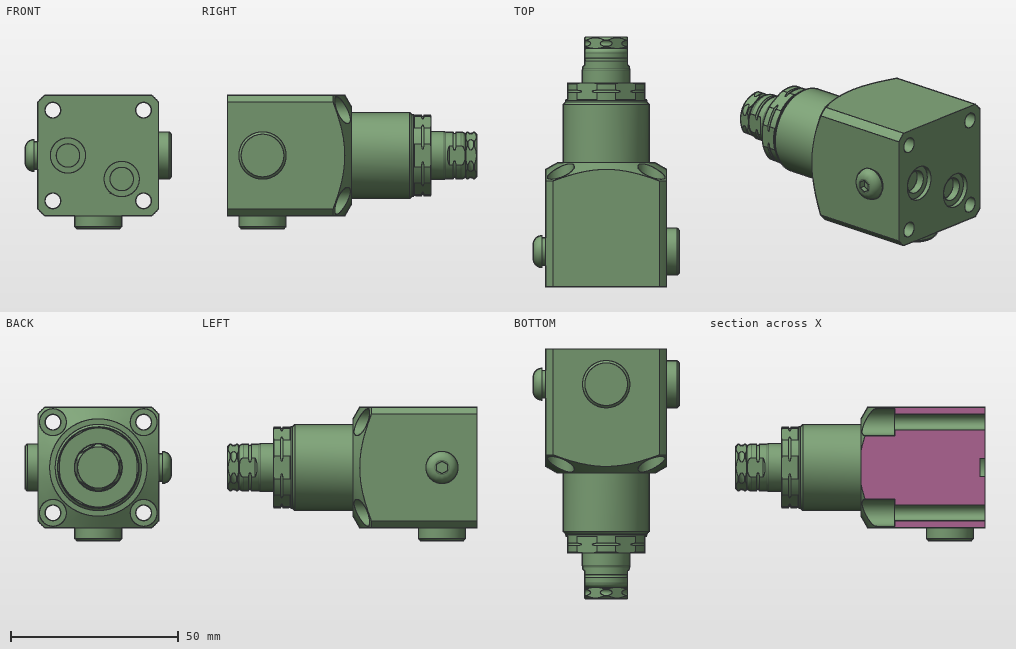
import cadquery as cq
import math


block_side = 36.0
block_length = 37.0
block_turned_radius = 24.0
rear_face_radius = 14.5
rear_cone_angle = 30.0

mount_offset = 13.5
mount_hole_diameter = 4.6
mount_counterbore_diameter = 8.0
mount_counterbore_floor = 27.0

port_positions = [(-9.0, 0.0), (7.0, -7.0)]
port_diameter = 7.0
port_depth = 4.0
port_counterbore_diameter = 10.5
port_counterbore_depth = 1.5

side_fitting_y = 10.5
plug_radius = 7.05
plug_height = 3.81
plug_chamfer = 0.7
screw_neck_radius = 4.15
screw_neck_height = 1.06
screw_head_radius = 4.8
screw_total_height = 3.78
screw_socket_across_flats = 3.2
screw_socket_depth = 1.8

sleeve_radius = 12.85
sleeve_end = 54.3
sleeve_chamfer_end = 55.05
sleeve_lip_radius = 12.15
sleeve_lip_end = 55.45

nut_radius = 12.0
nut_across_flats = 23.0
nut_flats_start = 55.8
nut_end = 60.7
nut_edge_chamfer = 0.25
nut_groove_y = 58.2
nut_groove_radius = 0.36

stem_radius = 7.15
stem_end = 64.5
connector_radius = 7.0
connector_start = 65.0
connector_half_flats = 6.4
connector_flat_start = 65.5
connector_groove_y = 67.65
connector_groove_radius = 0.42
shoulder_start = 69.65
neck_radius = 6.1
neck_y = 71.0

head_end = 74.42
head_tip_radius = 6.15
head_tip_chamfer = 0.88
head_base_chamfer = 0.35
head_groove_y = 72.5
head_groove_width = 1.7
head_groove_depth = 0.4


def cylinder_y(radius, start, end, x=0.0, z=0.0):
    """Cylinder along +Y from y = start to y = end."""
    base = cq.Vector(x, start, z)
    return cq.Workplane(cq.Solid.makeCylinder(radius, end - start, base, cq.Vector(0, 1, 0)))


def hex_prism_y(across_flats, start, end):
    """Hexagonal prism along Y with two of its flats facing -X and +X."""
    hexagon_plane = cq.Plane(origin=(0, start, 0), xDir=(1, 0, 0), normal=(0, 1, 0))
    prism = cq.Workplane(hexagon_plane).polygon(6, across_flats, circumscribed=True)
    return prism.extrude(end - start)


def revolve_y(profile):
    """Full turn of an XY profile about the Y axis."""
    return profile.close().revolve(360, (0, 0, 0), (0, 1, 0))


def round_groove(surface_radius, y, groove_radius):
    """Ring of circular section centred on a cylindrical surface."""
    section = cq.Workplane("XY").center(surface_radius, y).circle(groove_radius)
    return section.revolve(360, (-surface_radius, 0, 0), (-surface_radius, 1, 0))


def make_block():
    bar = cq.Workplane("XY").box(block_side, block_length, block_side).translate((0, block_length / 2, 0))
    cone_length = (block_turned_radius - rear_face_radius) * math.tan(math.radians(rear_cone_angle))
    turned = revolve_y(
        cq.Workplane("XY")
        .lineTo(block_turned_radius, 0)
        .lineTo(block_turned_radius, block_length - cone_length)
        .lineTo(rear_face_radius, block_length)
        .lineTo(0, block_length)
    )
    return bar.intersect(turned)


def cut_mounting_holes(body):
    hole_radius = mount_hole_diameter / 2
    counterbore_radius = mount_counterbore_diameter / 2
    for x in (-mount_offset, mount_offset):
        for z in (-mount_offset, mount_offset):
            body = body.cut(cylinder_y(hole_radius, 0, block_length, x, z))
            body = body.cut(cylinder_y(counterbore_radius, mount_counterbore_floor, block_length, x, z))
    return body


def cut_ports(body):
    for x, z in port_positions:
        body = body.cut(cylinder_y(port_diameter / 2, 0, port_depth, x, z))
        body = body.cut(cylinder_y(port_counterbore_diameter / 2, 0, port_counterbore_depth, x, z))
    return body


def make_side_plug(normal):
    """Round plug on the block face with the given outward normal, chamfered at its outer end."""
    nx, _, nz = normal
    origin = (nx * block_side / 2, side_fitting_y, nz * block_side / 2)
    face = cq.Workplane(cq.Plane(origin=origin, xDir=(0, 1, 0), normal=normal))
    plug = face.circle(plug_radius).extrude(plug_height)
    outer_end = cq.selectors.DirectionMinMaxSelector(cq.Vector(*normal))
    return plug.faces(outer_end).chamfer(plug_chamfer)


def make_button_screw():
    """Button-head screw on the -X face with a hexagonal socket."""
    seat_x = -block_side / 2
    head_x = seat_x - screw_neck_height
    tip_x = seat_x - screw_total_height
    middle = math.radians(45)
    dome_height = head_x - tip_x
    screw_tip_radius = screw_head_radius - dome_height
    dome_middle = (
        head_x - dome_height * math.sin(middle),
        screw_tip_radius + dome_height * math.cos(middle),
    )
    screw = (
        cq.Workplane("XY")
        .moveTo(seat_x, 0)
        .lineTo(seat_x, screw_neck_radius)
        .lineTo(head_x, screw_neck_radius)
        .lineTo(head_x, screw_head_radius)
        .threePointArc(dome_middle, (tip_x, screw_tip_radius))
        .lineTo(tip_x, 0)
        .close()
        .revolve(360, (0, 0, 0), (1, 0, 0))
        .translate((0, side_fitting_y, 0))
    )
    socket = (
        cq.Workplane("YZ", origin=(tip_x, side_fitting_y, 0))
        .polygon(6, screw_socket_across_flats, circumscribed=True)
        .extrude(screw_socket_depth)
    )
    return screw.cut(socket)


def make_sleeve():
    return revolve_y(
        cq.Workplane("XY")
        .moveTo(0, block_length)
        .lineTo(sleeve_radius, block_length)
        .lineTo(sleeve_radius, sleeve_end)
        .lineTo(sleeve_lip_radius, sleeve_chamfer_end)
        .lineTo(sleeve_lip_radius, sleeve_lip_end)
        .lineTo(0, sleeve_lip_end)
    )


def make_ring_nut():
    collar = cylinder_y(nut_radius, sleeve_lip_end, nut_flats_start)
    nut = cylinder_y(nut_radius, nut_flats_start, nut_end).faces(">Y").chamfer(nut_edge_chamfer)
    nut = nut.intersect(hex_prism_y(nut_across_flats, nut_flats_start, nut_end))
    return collar.union(nut).cut(round_groove(nut_radius, nut_groove_y, nut_groove_radius))


def make_stem():
    """Connector stem with a rounded shoulder, a ring groove and a flat on each side in X."""
    stem = revolve_y(
        cq.Workplane("XY")
        .moveTo(0, nut_end)
        .lineTo(stem_radius, nut_end)
        .lineTo(stem_radius, stem_end)
        .lineTo(connector_radius, connector_start)
        .lineTo(connector_radius, shoulder_start)
        .tangentArcPoint((neck_radius, neck_y), relative=False)
        .lineTo(0, neck_y)
    )
    flat_depth = connector_radius - connector_half_flats
    flat = (
        cq.Workplane("XY")
        .moveTo(connector_radius, connector_flat_start)
        .lineTo(connector_half_flats, connector_flat_start + flat_depth)
        .lineTo(connector_half_flats, neck_y)
        .lineTo(connector_radius, neck_y)
        .close()
        .extrude(connector_radius, both=True)
    )
    stem = stem.cut(flat).cut(flat.mirror("YZ"))
    return stem.cut(round_groove(connector_radius, connector_groove_y, connector_groove_radius))


def make_head():
    """Hexagonal head whose rounded corners carry a shallow ring groove."""
    land_start = neck_y + head_base_chamfer
    land_end = head_end - head_tip_chamfer
    groove_start = head_groove_y - head_groove_width / 2
    groove_end = groove_start + head_groove_width
    groove_middle = (connector_radius - head_groove_depth, head_groove_y)
    turned = revolve_y(
        cq.Workplane("XY")
        .moveTo(0, neck_y)
        .lineTo(connector_half_flats, neck_y)
        .lineTo(connector_radius, land_start)
        .lineTo(connector_radius, groove_start)
        .threePointArc(groove_middle, (connector_radius, groove_end))
        .lineTo(connector_radius, land_end)
        .lineTo(head_tip_radius, head_end)
        .lineTo(0, head_end)
    )
    return turned.intersect(hex_prism_y(2 * connector_half_flats, neck_y, head_end))


block = cut_ports(cut_mounting_holes(make_block()))
side_fittings = [make_side_plug((1, 0, 0)), make_side_plug((0, 0, -1)), make_button_screw()]
axial_parts = [make_sleeve(), make_ring_nut(), make_stem(), make_head()]

result = block
for piece in side_fittings + axial_parts:
    result = result.union(piece)